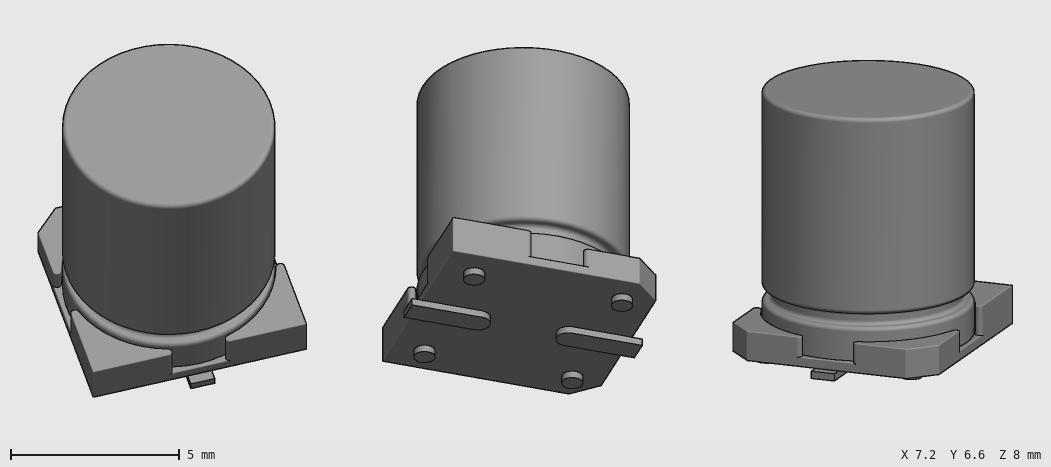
import cadquery as cq
import math

total_height = 8.0
base_bottom = 0.22
slot_floor = 0.52
low_corner_top = 1.14
high_corner_top = 1.42

base_side = 6.6
corner_cut = 0.76
edge_round = 0.03
pocket_radius = 3.18
tip_radius = 0.13

can_radius = 6.3 / 2
groove_radius = 5.67 / 2
groove_start = high_corner_top
bend_radius = 0.13
groove_floor_width = 0.15
rim_round = 0.13

standoff_diameter = 0.63
standoff_offset = 2.31
terminal_width = 0.74
terminal_outer_end = 7.2 / 2
terminal_inner_end = 1.05

half_side = base_side / 2
half_diagonal_share = math.sqrt(0.5)

tip_out = half_side - tip_radius
tip_across = math.sqrt((pocket_radius + tip_radius) ** 2 - tip_out**2)
touch_share = pocket_radius / (pocket_radius + tip_radius)
touch_out = tip_out * touch_share
touch_across = tip_across * touch_share

tip_mid_angle = (math.pi / 2 + math.pi + math.atan2(tip_out, tip_across)) / 2
tip_mid_across = tip_across + tip_radius * math.cos(tip_mid_angle)
tip_mid_out = tip_out + tip_radius * math.sin(tip_mid_angle)


def raised_corner(x_sign, y_sign):
    """One raised corner of the base: low and cut off on the -X side, high and square on +X."""

    def place(x, y):
        return (x_sign * x, y_sign * y)

    if x_sign < 0:
        top = low_corner_top
        outer_points = [(half_side - corner_cut, half_side), (half_side, half_side - corner_cut)]
    else:
        top = high_corner_top
        outer_points = [(half_side, half_side)]

    outline = cq.Workplane("XY").workplane(offset=base_bottom).moveTo(*place(tip_across, half_side))
    for x, y in outer_points:
        outline = outline.lineTo(*place(x, y))
    pocket_middle = pocket_radius * half_diagonal_share
    return (
        outline.lineTo(*place(half_side, tip_across))
        .threePointArc(place(tip_mid_out, tip_mid_across), place(touch_out, touch_across))
        .threePointArc(place(pocket_middle, pocket_middle), place(touch_across, touch_out))
        .threePointArc(place(tip_mid_across, tip_mid_out), place(tip_across, half_side))
        .close()
        .extrude(top - base_bottom)
    )


def is_rounded(edge):
    """True for the outer edges of the base and the edges around the raised tops."""
    middle = edge.Center()
    is_straight = edge.geomType() == "LINE"
    if is_straight and abs(edge.tangentAt(0).z) > half_diagonal_share:
        return min(abs(middle.x), abs(middle.y)) > half_side / 2
    is_on_slot_floor = abs(middle.z - slot_floor) < edge_round
    return is_straight or not is_on_slot_floor


def base_tray():
    tray = (
        cq.Workplane("XY")
        .workplane(offset=base_bottom)
        .rect(base_side, base_side)
        .extrude(slot_floor - base_bottom)
        .edges("|Z and <X")
        .chamfer(corner_cut)
    )
    for x_sign in (-1, 1):
        for y_sign in (-1, 1):
            tray = tray.union(raised_corner(x_sign, y_sign))
    rounded_edges = [edge for edge in tray.edges().vals() if is_rounded(edge)]
    return tray.newObject(rounded_edges).fillet(edge_round)


def can():
    """Revolved can: plain wall, rolled groove with quarter-circle bends, and rounded top rim."""
    outer_bend = can_radius - bend_radius
    inner_bend = groove_radius + bend_radius
    bend_reach = bend_radius * half_diagonal_share

    lower_flank = groove_start + bend_radius
    floor_start = lower_flank + bend_radius
    floor_end = floor_start + groove_floor_width
    upper_flank = floor_end + bend_radius
    groove_end = upper_flank + bend_radius

    profile = (
        cq.Workplane("XZ")
        .moveTo(0, slot_floor)
        .lineTo(can_radius, slot_floor)
        .lineTo(can_radius, groove_start)
        .threePointArc((outer_bend + bend_reach, groove_start + bend_reach), (outer_bend, lower_flank))
        .lineTo(inner_bend, lower_flank)
        .threePointArc((inner_bend - bend_reach, floor_start - bend_reach), (groove_radius, floor_start))
        .lineTo(groove_radius, floor_end)
        .threePointArc((inner_bend - bend_reach, floor_end + bend_reach), (inner_bend, upper_flank))
        .lineTo(outer_bend, upper_flank)
        .threePointArc((outer_bend + bend_reach, groove_end - bend_reach), (can_radius, groove_end))
        .lineTo(can_radius, total_height)
        .lineTo(0, total_height)
        .close()
    )
    return profile.revolve(360, (0, 0, 0), (0, 1, 0)).faces(">Z").edges().fillet(rim_round)


def standoffs():
    spacing = 2 * standoff_offset
    return (
        cq.Workplane("XY")
        .rect(spacing, spacing, forConstruction=True)
        .vertices()
        .circle(standoff_diameter / 2)
        .extrude(base_bottom)
    )


def terminal(x_sign):
    """Flat strip reaching out past the base, with a rounded inner end."""
    end_radius = terminal_width / 2
    end_center = terminal_inner_end + end_radius
    return (
        cq.Workplane("XY")
        .moveTo(x_sign * end_center, end_radius)
        .lineTo(x_sign * terminal_outer_end, end_radius)
        .lineTo(x_sign * terminal_outer_end, -end_radius)
        .lineTo(x_sign * end_center, -end_radius)
        .threePointArc((x_sign * terminal_inner_end, 0), (x_sign * end_center, end_radius))
        .close()
        .extrude(base_bottom)
    )


result = base_tray().union(can()).union(standoffs())
for x_side in (-1, 1):
    result = result.union(terminal(x_side))